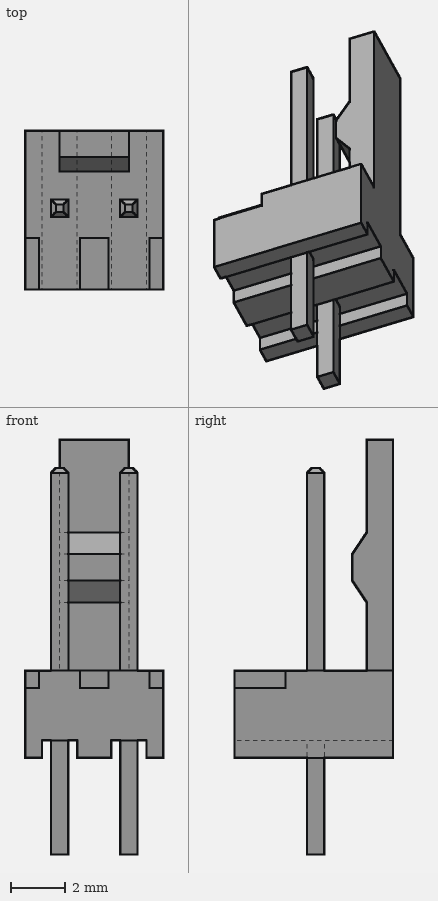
import cadquery as cq

body_width = 5.07
body_depth = 5.84
body_bottom = 3.55
body_top = 6.75
front_y = -body_depth / 2
back_y = body_depth / 2

pitch = 2.55
pin_size = 0.64
pin_top = 14.2
pin_tip_height = 0.18
pin_tip_size = 0.27
pin_y = back_y - 2.85
pin_positions = [(-pitch / 2, pin_y), (pitch / 2, pin_y)]

notch_depth = 0.64
notch_length = 1.89
middle_notch_width = 1.05
corner_notch_width = 0.5

channel_width = 1.28
channel_height = 0.64

latch_width = pitch
latch_top = 15.24
latch_thickness = 0.98
bump_reach = 0.53
bump_center_z = 10.55
bump_base_height = 2.58
bump_flat_height = 0.98


def make_body():
    body = cq.Workplane("XY", origin=(0, 0, body_bottom)).box(
        body_width, body_depth, body_top - body_bottom, centered=(True, True, False)
    )
    corner_x = (body_width - corner_notch_width) / 2
    notches = [
        (-corner_x, corner_notch_width),
        (0, middle_notch_width),
        (corner_x, corner_notch_width),
    ]
    for x, width in notches:
        notch = cq.Workplane("XY", origin=(x, front_y, body_top - notch_depth)).box(
            width, notch_length, notch_depth, centered=(True, False, False)
        )
        body = body.cut(notch)
    channels = (
        cq.Workplane("XY", origin=(0, 0, body_bottom))
        .pushPoints([(-pitch / 2, 0), (pitch / 2, 0)])
        .rect(channel_width, body_depth)
        .extrude(channel_height)
    )
    return body.cut(channels)


def make_latch():
    inner_y = back_y - latch_thickness
    bump_y = inner_y - bump_reach
    profile = [
        (back_y, body_top),
        (back_y, latch_top),
        (inner_y, latch_top),
        (inner_y, bump_center_z + bump_base_height / 2),
        (bump_y, bump_center_z + bump_flat_height / 2),
        (bump_y, bump_center_z - bump_flat_height / 2),
        (inner_y, bump_center_z - bump_base_height / 2),
        (inner_y, body_top),
    ]
    return cq.Workplane("YZ").polyline(profile).close().extrude(latch_width / 2, both=True)


def make_pin(x, y):
    shaft_top = pin_top - pin_tip_height
    shaft = cq.Workplane("XY", origin=(x, y, 0)).rect(pin_size, pin_size).extrude(shaft_top)
    tip = (
        cq.Workplane("XY", origin=(x, y, shaft_top))
        .rect(pin_size, pin_size)
        .workplane(offset=pin_tip_height)
        .rect(pin_tip_size, pin_tip_size)
        .loft(ruled=True)
    )
    return shaft.union(tip)


result = make_body().union(make_latch())
for pin_x, pin_center_y in pin_positions:
    result = result.union(make_pin(pin_x, pin_center_y))